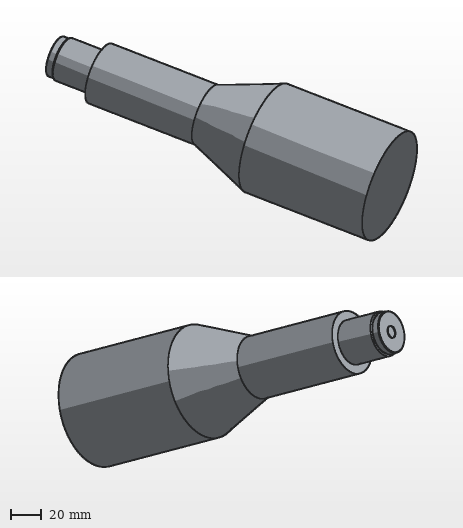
import cadquery as cq

total_length = 246.85
body_diameter = 76.0

collar_length = 5.0
groove_width = 1.0
shaft_length = 27.0
taper_length = 44.0
body_length = 91.0

collar_diameter = 28.0
groove_diameter = 26.0
shaft_diameter = 30.0
shoulder_diameter = 42.0

collar_chamfer = 0.5
recess_diameter = 8.0
recess_depth = 0.7

groove_start = collar_length
shaft_start = groove_start + groove_width
shoulder_start = shaft_start + shaft_length
body_start = total_length - body_length
taper_start = body_start - taper_length


def cylinder(diameter, start, end):
    """Solid cylinder on the X axis between two positions."""
    return cq.Workplane("YZ", origin=(start, 0, 0)).circle(diameter / 2).extrude(end - start)


def frustum(start_diameter, end_diameter, start, end):
    """Solid truncated cone on the X axis between two positions."""
    return (
        cq.Workplane("XY")
        .moveTo(start, 0)
        .lineTo(start, start_diameter / 2)
        .lineTo(end, end_diameter / 2)
        .lineTo(end, 0)
        .close()
        .revolve(360, (0, 0, 0), (1, 0, 0))
    )


collar = cylinder(collar_diameter, 0, groove_start).faces("<X").chamfer(collar_chamfer)

groove_core = cylinder(groove_diameter, groove_start, shaft_start)

shaft = cylinder(shaft_diameter, shaft_start, shoulder_start)
shoulder = cylinder(shoulder_diameter, shoulder_start, taper_start)
taper = frustum(shoulder_diameter, body_diameter, taper_start, body_start)
body = cylinder(body_diameter, body_start, total_length)

recess = cylinder(recess_diameter, 0, recess_depth)

result = collar
for section in (groove_core, shaft, shoulder, taper, body):
    result = result.union(section)
result = result.cut(recess)